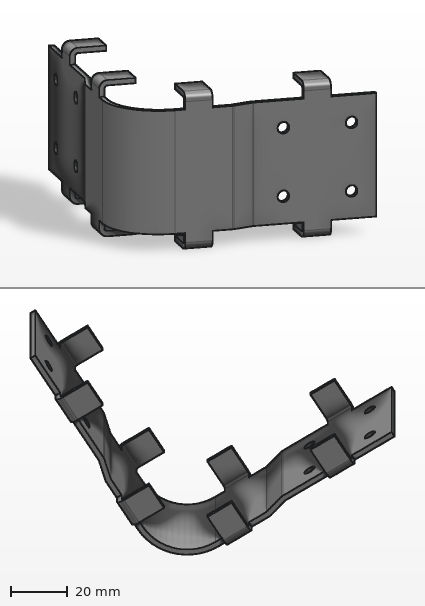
import cadquery as cq
import math

SHEET = 2.0
WING_LENGTH = 94.97
WING_HEIGHT = 45.0
CORNER_RADIUS = 20.5

JOGGLE_ANGLE = 15.0
JOGGLE_OFFSET = 2.12
FLANGE_LENGTH = 45.2
FLANGE_BEND_RADIUS = 1.0
CORNER_SIDE_BEND_RADIUS = 2.0

HOLE_DIAMETER = 4.2
HOLE_PITCH = 25.0
PATTERN_CENTRE = 21.55

TAB_WIDTH = 10.0
TAB_RISE = 6.0
TAB_REACH = 13.35
TAB_BEND_RADIUS = 3.0
TAB_PITCH = 44.0
LONG_TAB_EXTRA = 0.39

FREE_END_X = -WING_LENGTH
FLANGE_TAB_X = FREE_END_X + PATTERN_CENTRE
CORNER_TAB_X = FLANGE_TAB_X + TAB_PITCH


def reflect(point):
    """Point of the Y wing that answers to a point of the X wing."""
    x, y = point
    return (-y, -x)


def make_sheet():
    """Joggled sheet of both wings, joined by the round corner."""
    first_bend_x = FREE_END_X + FLANGE_LENGTH
    second_bend_x = first_bend_x + JOGGLE_OFFSET / math.tan(math.radians(JOGGLE_ANGLE))
    mitre = SHEET * math.tan(math.radians(JOGGLE_ANGLE / 2))
    inner_y = JOGGLE_OFFSET + SHEET

    outer_first = (first_bend_x, JOGGLE_OFFSET)
    outer_second = (second_bend_x, 0)
    inner_first = (first_bend_x + mitre, inner_y)
    inner_second = (second_bend_x + mitre, SHEET)

    outer_side = [(FREE_END_X, JOGGLE_OFFSET), outer_first, outer_second, (-CORNER_RADIUS, 0)]
    inner_side = [(FREE_END_X, inner_y), inner_first, inner_second, (-CORNER_RADIUS, SHEET)]
    y_wing_outer_side = [reflect(point) for point in reversed(outer_side)]
    y_wing_inner_side = [reflect(point) for point in inner_side]

    outer_arc_middle = CORNER_RADIUS * (1 - math.sqrt(0.5))
    inner_arc_middle = CORNER_RADIUS - (CORNER_RADIUS - SHEET) * math.sqrt(0.5)

    sheet = (
        cq.Workplane("XY", origin=(0, 0, -WING_HEIGHT / 2))
        .polyline(outer_side)
        .threePointArc((-outer_arc_middle, outer_arc_middle), y_wing_outer_side[0])
        .polyline(y_wing_outer_side[1:] + y_wing_inner_side, includeCurrent=True)
        .threePointArc((-inner_arc_middle, inner_arc_middle), inner_side[-1])
        .polyline(inner_side[-2::-1], includeCurrent=True)
        .close()
        .extrude(WING_HEIGHT)
    )
    bends = [
        (outer_first, FLANGE_BEND_RADIUS),
        (inner_first, FLANGE_BEND_RADIUS + SHEET),
        (outer_second, CORNER_SIDE_BEND_RADIUS),
    ]
    for bend, radius in bends:
        for x, y in (bend, reflect(bend)):
            sheet = sheet.edges(cq.NearestToPointSelector((x, y, 0))).fillet(radius)
    return sheet


def make_tab(centre_x, outer_y, side, rise=TAB_RISE):
    """L-shaped tab on the upper (side = 1) or lower (side = -1) edge of the X wing."""
    root_z = side * WING_HEIGHT / 2
    top_z = side * (WING_HEIGHT / 2 + rise)
    under_z = top_z - side * SHEET
    tip_y = outer_y + TAB_REACH
    inner_y = outer_y + SHEET
    inner_radius = TAB_BEND_RADIUS - SHEET

    tab = (
        cq.Workplane("YZ", origin=(centre_x, 0, 0))
        .polyline([
            (outer_y, root_z),
            (outer_y, top_z),
            (tip_y, top_z),
            (tip_y, under_z),
            (inner_y, under_z),
            (inner_y, root_z),
        ])
        .close()
        .extrude(TAB_WIDTH / 2, both=True)
    )
    tab = tab.edges(cq.NearestToPointSelector((centre_x, outer_y, top_z))).fillet(TAB_BEND_RADIUS)
    return tab.edges(cq.NearestToPointSelector((centre_x, inner_y, under_z))).fillet(inner_radius)


def make_holes():
    """Cutters for the square pattern of bolt holes in the flange of the X wing."""
    inner_y = JOGGLE_OFFSET + SHEET
    return (
        cq.Workplane("XZ", origin=(FLANGE_TAB_X, inner_y, 0))
        .rarray(HOLE_PITCH, HOLE_PITCH, 2, 2)
        .circle(HOLE_DIAMETER / 2)
        .extrude(SHEET)
    )


def make_tabs(long_tab_extra=0.0):
    """Four tabs of the X wing; the lower corner-side one drops by the given extra amount."""
    return [
        make_tab(FLANGE_TAB_X, JOGGLE_OFFSET, 1),
        make_tab(FLANGE_TAB_X, JOGGLE_OFFSET, -1),
        make_tab(CORNER_TAB_X, 0, 1),
        make_tab(CORNER_TAB_X, 0, -1, TAB_RISE + long_tab_extra),
    ]


def to_y_wing(shape):
    """Mirror a feature of the X wing in the diagonal plane of the corner."""
    return shape.mirror(cq.Vector(1, 1, 0))


x_wing_holes = make_holes()
result = make_sheet().cut(x_wing_holes).cut(to_y_wing(x_wing_holes))
for tab in make_tabs():
    result = result.union(tab)
for tab in make_tabs(LONG_TAB_EXTRA):
    result = result.union(to_y_wing(tab))